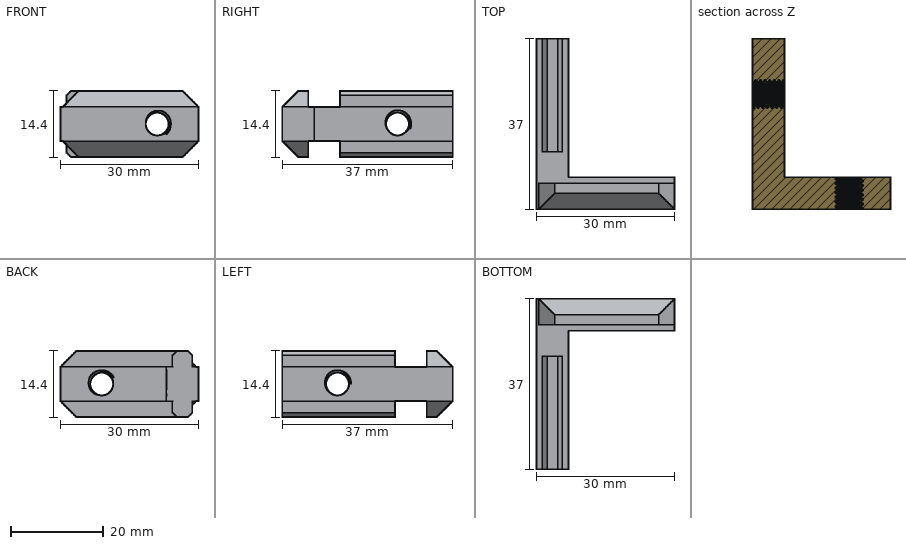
import cadquery as cq
import math

length_x = 30.0
length_y = 37.0
height = 14.4
leg_width = 7.0
core_height = 7.4
ridge_rise = (height - core_height) / 2

wedge_start = 0.5
wedge_depth = 5.7

rail_start = 12.5
rail_width = 4.33
rail_centre = 3.5
rail_chamfer = 1.0

hole_x = 21.0
hole_y = 25.0
thread_pitch = 1.0
major_diameter = 6.0
major_radius = major_diameter / 2
flank_angle = math.radians(30)
root_flat = thread_pitch / 8
thread_depth = (5 / 8) * math.cos(flank_angle) * thread_pitch
minor_radius = major_radius - thread_depth
groove_overlap = 0.1
bore_seam_offset = 77
x_leg_thread_angle = -50
y_leg_thread_angle = 170


def make_core():
    """L-shaped plate that carries the ridges."""
    outline = [
        (0, 0),
        (length_x, 0),
        (length_x, leg_width),
        (leg_width, leg_width),
        (leg_width, length_y),
        (0, length_y),
    ]
    return cq.Workplane("XY").polyline(outline).close().extrude(core_height / 2, both=True)


def make_wedge():
    """Ridge above the X leg."""
    end_outline = [
        (0, 0),
        (ridge_rise, ridge_rise),
        (wedge_depth, ridge_rise),
        (wedge_depth, 0),
    ]
    front_outline = [
        (wedge_start, 0),
        (wedge_start + ridge_rise, ridge_rise),
        (length_x - ridge_rise, ridge_rise),
        (length_x, 0),
    ]
    along_x = cq.Workplane("YZ").polyline(end_outline).close().extrude(length_x)
    along_y = cq.Workplane("XZ").polyline(front_outline).close().extrude(-wedge_depth)
    return along_x.intersect(along_y).translate((0, 0, core_height / 2))


def make_rail():
    """Ridge above the Y leg."""
    return (
        cq.Workplane("XY")
        .box(rail_width, length_y - rail_start, ridge_rise, centered=(True, False, False))
        .edges("|Y and >Z")
        .chamfer(rail_chamfer)
        .translate((rail_centre, rail_start, core_height / 2))
    )


def make_bore(mouth_angle):
    """Cutter for the minor diameter, along +Z, with its seam turned clear of the groove's ends."""
    bore = cq.Workplane("XY").circle(minor_radius).extrude(leg_width)
    return bore.rotate((0, 0, 0), (0, 0, 1), mouth_angle + bore_seam_offset)


def make_thread_groove(mouth_angle):
    """Helical cutter along +Z, lying at mouth_angle where it crosses the plane Z = 0."""
    inner_radius = minor_radius - groove_overlap
    root_half = root_flat / 2
    inner_half = root_half + (major_radius - inner_radius) * math.tan(flank_angle)
    corners = [
        (inner_radius, -inner_half),
        (major_radius, -root_half),
        (major_radius, root_half),
        (inner_radius, inner_half),
    ]
    helix_length = leg_width + 2 * thread_pitch
    helices = [
        cq.Wire.makeHelix(thread_pitch, helix_length, radius).translate(cq.Vector(0, 0, z - thread_pitch))
        for radius, z in corners
    ]
    next_helices = helices[1:] + helices[:1]
    faces = [cq.Face.makeRuledSurface(first, second) for first, second in zip(helices, next_helices)]
    for end_points in ([h.startPoint() for h in helices], [h.endPoint() for h in helices]):
        faces.append(cq.Face.makeFromWires(cq.Wire.makePolygon(end_points, close=True)))
    groove = cq.Solid.makeSolid(cq.Shell.makeShell(faces))
    return cq.Workplane(obj=groove).rotate((0, 0, 0), (0, 0, 1), mouth_angle)


def place_in_x_leg(cutter):
    """Tip a cutter to run along +Y through the X leg."""
    return cutter.rotate((0, 0, 0), (1, 0, 0), -90).translate((hole_x, 0, 0))


def place_in_y_leg(cutter):
    """Tip a cutter to run along +X through the Y leg."""
    return cutter.rotate((0, 0, 0), (0, 1, 0), 90).translate((0, hole_y, 0))


upper_ridges = make_wedge().union(make_rail())
bracket = make_core().union(upper_ridges).union(upper_ridges.mirror("XY"))
for mouth_angle, place in (
    (x_leg_thread_angle, place_in_x_leg),
    (y_leg_thread_angle, place_in_y_leg),
):
    bracket = bracket.cut(place(make_bore(mouth_angle)))
    bracket = bracket.cut(place(make_thread_groove(mouth_angle)))
result = cq.Workplane(obj=bracket.solids().val())